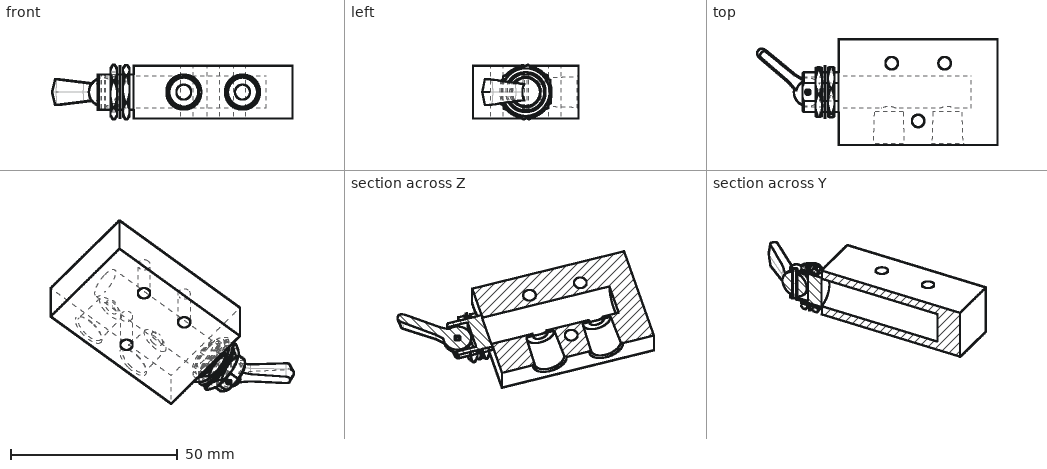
import cadquery as cq
import math


BLOCK_LENGTH = 47.7
BLOCK_WIDTH = 31.8
BLOCK_HEIGHT = 15.9
MOUNT_HOLE_DIAMETER = 3.7
MOUNT_HOLE_OFFSET = 8.7
PORT_SPACING = 17.6
PORT_RIM_RADIUS = 5.3
PORT_MOUTH_RADIUS = 4.6
PORT_FLOOR_RADIUS = 4.3
PORT_CHAMFER_DEPTH = 0.5
PORT_DEPTH = 10.1
PASSAGE_RADIUS = 2.25
SPOOL_BORE_RADIUS = 4.85
SPOOL_BORE_DEPTH = 39.7

NECK_LENGTH = 10.9
NECK_RADIUS = 6.0
NECK_CHAMFER = 0.4
NECK_FLAT_HEIGHT = 5.35
NECK_BORE_RADIUS = 4.5

NUT_THICKNESS = 2.0
NUT_ACROSS_FLATS = 14.3
NUT_CHAMFER_LENGTH = 0.8
NUT_GAP = 1.2
NUT_SPACING = 3.75
NUT_ANGLES = (7.0, -5.0)
WASHER_THICKNESS = 0.4
WASHER_RADIUS = 7.8
WASHER_GAP = 3.9

PIVOT_DISTANCE = 9.25
BALL_RADIUS = 4.25
LEVER_ANGLE = 40.0
HANDLE_ROOT = 2.2
HANDLE_BEND = 6.4
HANDLE_SHOULDER = 17.1
RIDGE_NOSE = 19.5
EDGE_NOSE = 18.3
RIDGE_HALF_THICKNESSES = (2.2, 1.6, 1.5)
EDGE_HALF_THICKNESSES = (2.0, 1.3, 1.15)
ROOT_HALF_HEIGHT = 2.4
NOSE_HALF_HEIGHT = 3.9
PIN_DIAMETER = 1.65
PIN_BORE_DIAMETER = 0.9


def make_block():
    """Valve block with mounting holes, two ports and the spool bore that the neck closes."""
    centre = (BLOCK_LENGTH / 2, 0, 0)
    block = cq.Workplane("XY", origin=centre).box(BLOCK_LENGTH, BLOCK_WIDTH, BLOCK_HEIGHT)
    mount_points = [
        (BLOCK_LENGTH / 3, MOUNT_HOLE_OFFSET),
        (BLOCK_LENGTH * 2 / 3, MOUNT_HOLE_OFFSET),
        (BLOCK_LENGTH / 2, -MOUNT_HOLE_OFFSET),
    ]
    mount_holes = (
        cq.Workplane("XY")
        .pushPoints(mount_points)
        .circle(MOUNT_HOLE_DIAMETER / 2)
        .extrude(BLOCK_HEIGHT / 2, both=True)
    )
    spool_bore = cq.Workplane("YZ").circle(SPOOL_BORE_RADIUS).extrude(SPOOL_BORE_DEPTH)
    block = block.cut(mount_holes).cut(spool_bore)
    for side in (-1, 1):
        block = block.cut(make_port().translate((BLOCK_LENGTH / 2 + side * PORT_SPACING / 2, 0, 0)))
    return block


def make_port():
    """Chamfered, slightly tapered port with a narrow passage to the spool bore."""
    face = -BLOCK_WIDTH / 2
    return (
        cq.Workplane("XY")
        .moveTo(0, face)
        .lineTo(PORT_RIM_RADIUS, face)
        .lineTo(PORT_MOUTH_RADIUS, face + PORT_CHAMFER_DEPTH)
        .lineTo(PORT_FLOOR_RADIUS, face + PORT_DEPTH)
        .lineTo(PASSAGE_RADIUS, face + PORT_DEPTH)
        .lineTo(PASSAGE_RADIUS, 0)
        .lineTo(0, 0)
        .close()
        .revolve(360, (0, 0), (0, 1))
    )


def make_neck():
    """Round neck with two flats and a blind bore that holds the lever ball."""
    neck = cq.Workplane("YZ").circle(NECK_RADIUS).extrude(-NECK_LENGTH).faces("<X").chamfer(NECK_CHAMFER)
    flats = cq.Workplane("XY").box(2 * NECK_LENGTH, 2 * NECK_RADIUS, 2 * NECK_FLAT_HEIGHT)
    bore_depth = NECK_LENGTH - PIVOT_DISTANCE + NECK_BORE_RADIUS
    bore = cq.Workplane("YZ", origin=(-NECK_LENGTH, 0, 0)).circle(NECK_BORE_RADIUS).extrude(bore_depth)
    return neck.intersect(flats).cut(bore).cut(pivot_rod(PIN_DIAMETER))


def make_nut(rear_face, angle):
    """Hexagon nut chamfered on both faces, its rear face at X = -rear_face."""
    corner_radius = NUT_ACROSS_FLATS / math.sqrt(3)
    face_radius = NUT_ACROSS_FLATS / 2
    blank = (
        cq.Workplane("XY")
        .lineTo(0, face_radius)
        .lineTo(-NUT_CHAMFER_LENGTH, corner_radius)
        .lineTo(NUT_CHAMFER_LENGTH - NUT_THICKNESS, corner_radius)
        .lineTo(-NUT_THICKNESS, face_radius)
        .lineTo(-NUT_THICKNESS, 0)
        .close()
        .revolve(360, (0, 0), (1, 0))
    )
    hexagon = (
        cq.Workplane("YZ")
        .transformed(rotate=(0, 0, 90 - angle))
        .polygon(6, 2 * corner_radius)
        .circle(NECK_RADIUS)
        .extrude(-NUT_THICKNESS)
    )
    return blank.intersect(hexagon).translate((-rear_face, 0, 0))


def make_washer():
    plane = cq.Workplane("YZ", origin=(-WASHER_GAP, 0, 0))
    return plane.circle(WASHER_RADIUS).circle(NECK_RADIUS).extrude(-WASHER_THICKNESS)


def handle_outline(half_thicknesses, nose, root_height, nose_height):
    """Closed outline of the handle on a plane that rises from root_height to nose_height."""

    def point(along, across):
        rise = (along - HANDLE_ROOT) / (nose - HANDLE_ROOT)
        return cq.Vector(-along, across, root_height + rise * (nose_height - root_height))

    stations = list(zip((HANDLE_ROOT, HANDLE_BEND, HANDLE_SHOULDER), half_thicknesses))
    left = [point(along, -half) for along, half in stations]
    right = [point(along, half) for along, half in stations]
    outward = (left[2] - left[1]).normalized()
    inward = (right[1] - right[2]).normalized()
    edges = [
        cq.Edge.makeLine(left[0], left[1]),
        cq.Edge.makeLine(left[1], left[2]),
        cq.Edge.makeSpline([left[2], point(nose, 0), right[2]], tangents=[outward, inward]),
        cq.Edge.makeLine(right[2], right[1]),
        cq.Edge.makeLine(right[1], right[0]),
        cq.Edge.makeLine(right[0], left[0]),
    ]
    return cq.Wire.assembleEdges(edges)


def make_lever():
    """Ball with a six-sided handle, widest at a ridge along its mid-height."""
    ridge = handle_outline(RIDGE_HALF_THICKNESSES, RIDGE_NOSE, 0, 0)
    edge = handle_outline(EDGE_HALF_THICKNESSES, EDGE_NOSE, ROOT_HALF_HEIGHT, NOSE_HALF_HEIGHT)
    upper_half = cq.Workplane(cq.Solid.makeLoft([ridge, edge], True))
    handle = upper_half.union(upper_half.mirror("XY"))
    lever = cq.Workplane("XY").sphere(BALL_RADIUS).union(handle)
    lever = lever.rotate((0, 0, 0), (0, 0, 1), -LEVER_ANGLE).translate((-PIVOT_DISTANCE, 0, 0))
    return lever.cut(pivot_rod(PIN_DIAMETER))


def pivot_rod(diameter):
    """Upright cylinder through the pivot, reaching from flat to flat of the neck."""
    pivot = cq.Workplane("XY", origin=(-PIVOT_DISTANCE, 0, 0))
    return pivot.circle(diameter / 2).extrude(NECK_FLAT_HEIGHT, both=True)


block = make_block()
neck = make_neck()
nuts = [make_nut(NUT_GAP + index * NUT_SPACING, angle) for index, angle in enumerate(NUT_ANGLES)]
washer = make_washer()
lever = make_lever()
pin = pivot_rod(PIN_DIAMETER).cut(pivot_rod(PIN_BORE_DIAMETER))

result = cq.Compound.makeCompound(
    [block.val(), neck.val(), *[nut.val() for nut in nuts], washer.val(), lever.val(), pin.val()]
)